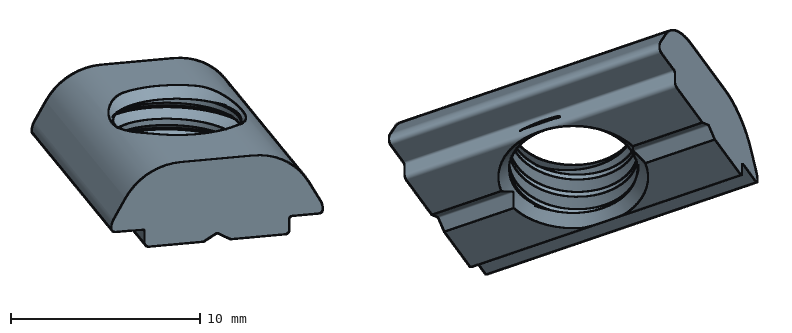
import cadquery as cq
import math

length = 16.0
width = 11.6
height = 4.6

crown_radius = 3.5
flank_angle = math.radians(60)
nose_radius = 1.0
edge_radius = 0.24
inner_corner_radius = 0.13
shoulder_height = 1.0
foot_width = 7.94
notch_width = 1.47
notch_angle = math.radians(30)
notch_tip_radius = 0.13

bore_diameter = 6.78
thread_diameter = 8.18
sink_diameter = 7.92
sink_depth = (sink_diameter - bore_diameter) / 2
thread_pitch = 1.25
crest_height = 0.35
thread_turns = 5
thread_flank_slope = math.radians(30)
thread_phase_angle = 45
bore_overlap = 0.16


def arc_point(center, radius, angle):
    """Point on a circle, with the angle measured from the horizontal."""
    return center[0] + radius * math.cos(angle), center[1] + radius * math.sin(angle)


def mirrored(point):
    return -point[0], point[1]


def make_body():
    """Extrude the domed, footed cross-section along X, centred on the hole."""
    half_width = width / 2
    half_foot = foot_width / 2
    flank_normal = math.pi / 2 - flank_angle

    nose_center = (half_width - nose_radius, shoulder_height + edge_radius)
    nose_top = arc_point(nose_center, nose_radius, flank_normal)
    nose_mid = arc_point(nose_center, nose_radius, flank_normal / 2)
    crown_center_z = height - crown_radius
    crown_end_z = crown_center_z + crown_radius * math.sin(flank_normal)
    crown_end_y = nose_top[0] - (crown_end_z - nose_top[1]) / math.tan(flank_angle)
    crown_center_y = crown_end_y - crown_radius * math.cos(flank_normal)
    crown_center = (crown_center_y, crown_center_z)
    crown_mid = arc_point(crown_center, crown_radius, (flank_normal + math.pi / 2) / 2)

    edge_center = (half_width - edge_radius, shoulder_height + edge_radius)
    edge_mid = arc_point(edge_center, edge_radius, -math.pi / 4)
    edge_end = (edge_center[0], shoulder_height)
    nose_bottom = (half_width, nose_center[1])

    profile = (
        cq.Workplane("YZ", origin=(-length / 2, 0, 0))
        .moveTo(-crown_center_y, height)
        .lineTo(crown_center_y, height)
        .threePointArc(crown_mid, (crown_end_y, crown_end_z))
        .lineTo(*nose_top)
        .threePointArc(nose_mid, nose_bottom)
        .threePointArc(edge_mid, edge_end)
        .lineTo(half_foot, shoulder_height)
        .lineTo(half_foot, 0)
        .lineTo(-half_foot, 0)
        .lineTo(-half_foot, shoulder_height)
        .lineTo(*mirrored(edge_end))
        .threePointArc(mirrored(edge_mid), mirrored(nose_bottom))
        .threePointArc(mirrored(nose_mid), mirrored(nose_top))
        .lineTo(-crown_end_y, crown_end_z)
        .threePointArc(mirrored(crown_mid), (-crown_center_y, height))
        .close()
    )
    body = profile.extrude(length).edges("|X and <Z").fillet(edge_radius)
    for side in (-1, 1):
        corner = cq.selectors.NearestToPointSelector((0, side * half_foot, shoulder_height))
        body = body.edges(corner).fillet(inner_corner_radius)
    return body


def make_notch():
    """V-groove along the underside with a rounded tip."""
    depth = notch_width / 2 * math.tan(notch_angle)
    return (
        cq.Workplane("YZ", origin=(-length / 2, 0, 0))
        .polyline([(-notch_width / 2, 0), (notch_width / 2, 0), (0, depth)])
        .close()
        .extrude(length)
        .edges("|X and >Z")
        .fillet(notch_tip_radius)
    )


def make_thread_groove():
    """Sweep the 60-degree groove section along a helix, trimmed to the bore."""
    bore_radius = bore_diameter / 2
    thread_radius = thread_diameter / 2
    inner_radius = bore_radius - bore_overlap
    flank_rise = math.tan(thread_flank_slope)
    lip_offset = (thread_pitch - crest_height) / 2
    root_offset = lip_offset - (thread_radius - bore_radius) * flank_rise
    inner_offset = lip_offset + bore_overlap * flank_rise

    phase_rise = thread_pitch * thread_phase_angle / 360
    start_z = height / 2 - thread_pitch * thread_turns / 2 - phase_rise

    path = cq.Workplane(
        cq.Wire.makeHelix(thread_pitch, thread_pitch * thread_turns, bore_radius)
    ).translate((0, 0, start_z))
    groove = (
        cq.Workplane("XZ")
        .polyline([
            (inner_radius, start_z - inner_offset),
            (thread_radius, start_z - root_offset),
            (thread_radius, start_z + root_offset),
            (inner_radius, start_z + inner_offset),
        ])
        .close()
        .sweep(path, isFrenet=True)
    )

    thread_zone = (
        cq.Workplane("XY", origin=(0, 0, sink_depth))
        .circle(thread_diameter)
        .extrude(height - 2 * sink_depth)
    )
    return groove.intersect(thread_zone)


def make_hole():
    """Bore with equal 45-degree countersinks at its ends."""
    bore_radius = bore_diameter / 2
    sink_radius = sink_diameter / 2

    return (
        cq.Workplane("XZ")
        .polyline([
            (0, 0),
            (sink_radius, 0),
            (bore_radius, sink_depth),
            (bore_radius, height - sink_depth),
            (sink_radius, height),
            (0, height),
        ])
        .close()
        .revolve(360, (0, 0, 0), (0, 1, 0))
    )


result = make_body().cut(make_notch()).cut(make_hole()).cut(make_thread_groove()).solids()